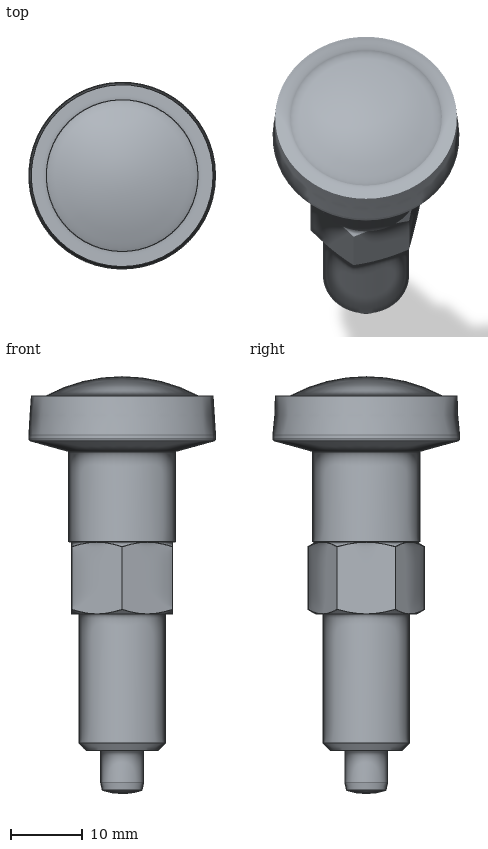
import cadquery as cq
import math

total_height = 58.0
tip_dome_height = 0.45
tip_taper_top = 1.5
barrel_bottom = 6.0
hex_bottom = 25.0
hex_top = 35.0
knob_bottom = 47.6
rim_bottom = 49.05
rim_lower_edge = 49.4
rim_upper_edge = 49.9
knob_shoulder = 55.35

pin_diameter = 6.0
pin_tip_diameter = 5.5
barrel_diameter = 12.0
sleeve_diameter = 14.9
knob_diameter = 26.0
knob_shoulder_diameter = 25.3
rim_bottom_diameter = 25.45
dome_diameter = 21.1

hex_across_flats = 14.05
hex_chamfer_angle = 30.0
barrel_chamfer = 1.05
sleeve_chamfer = 0.1


def cylinder(diameter, bottom, top):
    return cq.Workplane("XY").workplane(offset=bottom).circle(diameter / 2).extrude(top - bottom)


def make_pin():
    """Round pin with a tapered end and a slightly domed tip."""
    tip_radius = pin_tip_diameter / 2
    dome_radius = (tip_radius**2 + tip_dome_height**2) / (2 * tip_dome_height)
    mid_radius = tip_radius / 2
    mid_height = dome_radius - math.sqrt(dome_radius**2 - mid_radius**2)
    return (
        cq.Workplane("XZ")
        .moveTo(0, 0)
        .threePointArc((mid_radius, mid_height), (tip_radius, tip_dome_height))
        .lineTo(pin_diameter / 2, tip_taper_top)
        .lineTo(pin_diameter / 2, barrel_bottom)
        .lineTo(0, barrel_bottom)
        .close()
        .revolve(360, (0, 0), (0, 1))
    )


def make_barrel():
    return cylinder(barrel_diameter, barrel_bottom, hex_bottom).faces("<Z").chamfer(barrel_chamfer)


def make_hexagon():
    """Hexagon with corners on the Y axis, its corners bevelled by a cone at both ends."""
    across_corners = hex_across_flats / math.cos(math.radians(30))
    hex_height = hex_top - hex_bottom
    bevel_width = (across_corners - hex_across_flats) / 2
    bevel_height = bevel_width * math.tan(math.radians(hex_chamfer_angle))
    prism = (
        cq.Workplane("XY")
        .workplane(offset=hex_bottom)
        .transformed(rotate=(0, 0, 90))
        .polygon(6, across_corners)
        .extrude(hex_height)
    )
    envelope = cylinder(across_corners, hex_bottom, hex_top)
    envelope = envelope.faces("<Z or >Z").chamfer(bevel_height, bevel_width)
    return prism.intersect(envelope)


def make_knob():
    """Tapered knob with a conical underside, a rounded rim and a shallow dome on top."""
    dome_edge = dome_diameter / 2
    dome_height = total_height - knob_shoulder
    dome_radius = (dome_edge**2 + dome_height**2) / (2 * dome_height)
    mid_radius = dome_edge / 2
    mid_height = total_height - dome_radius + math.sqrt(dome_radius**2 - mid_radius**2)
    return (
        cq.Workplane("XZ")
        .moveTo(0, total_height)
        .threePointArc((mid_radius, mid_height), (dome_edge, knob_shoulder))
        .lineTo(knob_shoulder_diameter / 2, knob_shoulder)
        .lineTo(knob_diameter / 2, rim_upper_edge)
        .lineTo(knob_diameter / 2, rim_lower_edge)
        .tangentArcPoint((rim_bottom_diameter / 2, rim_bottom), relative=False)
        .lineTo(sleeve_diameter / 2, knob_bottom)
        .lineTo(0, knob_bottom)
        .close()
        .revolve(360, (0, 0), (0, 1))
    )


sleeve = cylinder(sleeve_diameter, hex_top, knob_bottom).faces("<Z or >Z").chamfer(sleeve_chamfer)

result = make_pin().union(make_barrel()).union(make_hexagon()).union(sleeve).union(make_knob())